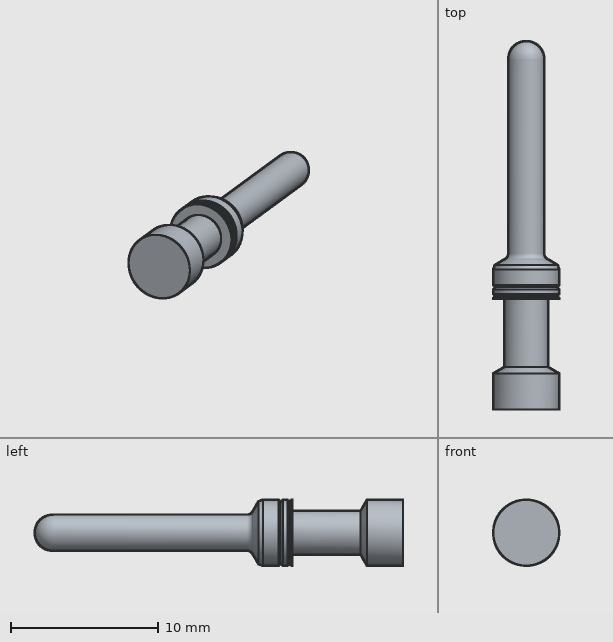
import cadquery as cq
import math

total_length = 25.0
pin_radius = 2.48 / 2
neck_radius = 3.0 / 2
body_radius = 4.5 / 2
head_length = 2.45
collar_start = 7.5
collar_end = 9.5
head_cone_angle = math.radians(60)

edge_taper_radius = 2.15
edge_taper_length = 0.3
cone_length = 0.38
root_flare_length = 0.38
root_flare_radius = 1.52
groove_width = 0.3
groove_depth = 0.15
first_groove = 7.7
groove_pitch = 0.6
groove_count = 2

neck_start = head_length + (body_radius - neck_radius) / math.tan(head_cone_angle)

cone_start = collar_end + edge_taper_length
flare_start = cone_start + cone_length
pin_start = flare_start + root_flare_length

flare_rise = root_flare_radius - pin_radius
flare_arc_radius = (root_flare_length**2 + flare_rise**2) / (2 * flare_rise)
flare_half_angle = math.atan(flare_rise / root_flare_length)
flare_middle = (
    pin_radius + flare_arc_radius * (1 - math.cos(flare_half_angle)),
    pin_start - flare_arc_radius * math.sin(flare_half_angle),
)

tip_center = (0, total_length - pin_radius)
tip_middle = (
    pin_radius * math.cos(math.pi / 4),
    tip_center[1] + pin_radius * math.sin(math.pi / 4),
)

pin = (
    cq.Workplane("XY")
    .lineTo(body_radius, 0)
    .lineTo(body_radius, head_length)
    .lineTo(neck_radius, neck_start)
    .lineTo(neck_radius, collar_start)
    .lineTo(body_radius, collar_start)
    .lineTo(body_radius, collar_end)
    .lineTo(edge_taper_radius, cone_start)
    .lineTo(root_flare_radius, flare_start)
    .threePointArc(flare_middle, (pin_radius, pin_start))
    .lineTo(pin_radius, tip_center[1])
    .threePointArc(tip_middle, (0, total_length))
    .close()
    .revolve(360, (0, 0, 0), (0, 1, 0))
)


def v_groove(center_y):
    """Ring with a V section that cuts a groove into the collar."""
    half_width = groove_width / 2
    return (
        cq.Workplane("XY")
        .moveTo(body_radius, center_y - half_width)
        .lineTo(body_radius - groove_depth, center_y)
        .lineTo(body_radius, center_y + half_width)
        .lineTo(body_radius + groove_depth, center_y + half_width)
        .lineTo(body_radius + groove_depth, center_y - half_width)
        .close()
        .revolve(360, (0, 0, 0), (0, 1, 0))
    )


for groove_index in range(groove_count):
    pin = pin.cut(v_groove(first_groove + groove_index * groove_pitch))

result = pin